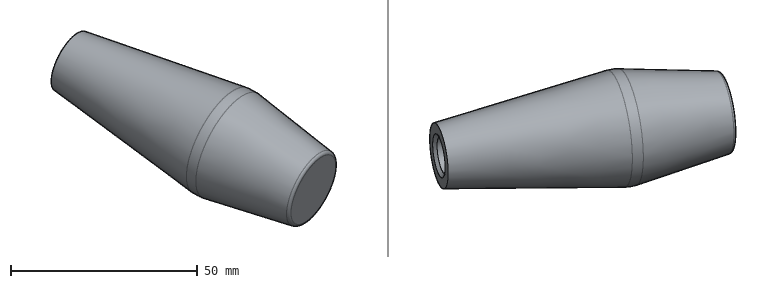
import cadquery as cq
import math

length = 80.0
max_diameter = 32.1
max_radius = max_diameter / 2
front_slope = math.radians(8.0)
back_slope = math.radians(9.7)

crown_radius = 10.0
crown_top = 50.9
crown_start = crown_top - crown_radius * math.sin(front_slope)
crown_end = crown_top + crown_radius * math.sin(back_slope)
crown_start_radius = max_radius - crown_radius * (1 - math.cos(front_slope))
crown_end_radius = max_radius - crown_radius * (1 - math.cos(back_slope))

front_radius = crown_start_radius - crown_start * math.tan(front_slope)
back_radius = crown_end_radius - (length - crown_end) * math.tan(back_slope)
back_fillet = 1.0

hole_radius = 5.0
hole_mouth_radius = 6.0
hole_depth = 24.0
drill_point_angle = 118.0
mouth_chamfer = hole_mouth_radius - hole_radius
drill_point = hole_radius / math.tan(math.radians(drill_point_angle / 2))


def revolve_about_x(profile):
    return profile.close().revolve(360, (0, 0, 0), (1, 0, 0))


def make_body():
    profile = (
        cq.Workplane("XY")
        .lineTo(0, front_radius)
        .lineTo(crown_start, crown_start_radius)
        .threePointArc((crown_top, max_radius), (crown_end, crown_end_radius))
        .lineTo(length, back_radius)
        .lineTo(length, 0)
    )
    return revolve_about_x(profile).faces(">X").edges().fillet(back_fillet)


def make_hole():
    profile = (
        cq.Workplane("XY")
        .lineTo(0, hole_mouth_radius)
        .lineTo(mouth_chamfer, hole_radius)
        .lineTo(hole_depth, hole_radius)
        .lineTo(hole_depth + drill_point, 0)
    )
    return revolve_about_x(profile)


result = make_body().cut(make_hole())